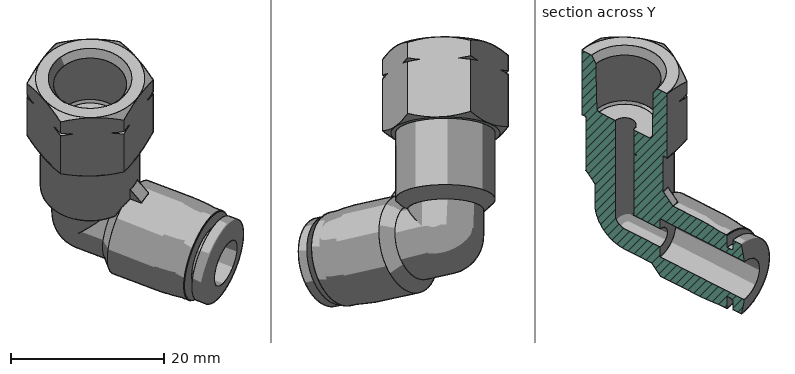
import cadquery as cq
import math

body_radius = 13.0 / 2
elbow_radius = 10.02 / 2
passage_radius = 3.0 / 2
cone_length = body_radius - elbow_radius

overall_height = 31.5
hex_corner_radius = 16.5 / 2
hex_flat_radius = hex_corner_radius * math.cos(math.radians(30))
hex_height = 10.95
hex_top = overall_height - body_radius
hex_bottom = hex_top - hex_height
hex_chamfer_height = 0.63
hex_face_radius = hex_flat_radius - 0.03
notch_drop = 3.0
notch_depth = 0.65
notch_half_height = 0.25

socket_mouth_radius = 10.9 / 2
socket_top_radius = 9.5 / 2
socket_end_radius = 9.17 / 2
socket_floor_radius = 8.5 / 2
socket_mouth_depth = 1.1
socket_taper_length = 7.55
socket_end_chamfer = socket_end_radius - socket_floor_radius

leg_cone_bottom = 3.5
leg_cone_top = leg_cone_bottom + cone_length
rib_width = 2.02
rib_leg = 1.6

sleeve_cone_start = 4.47
sleeve_start = sleeve_cone_start + cone_length
sleeve_taper_start = 12.82
sleeve_taper_end = 15.78
sleeve_end = 17.17
sleeve_end_radius = 12.5 / 2
sleeve_edge_chamfer = 0.1
neck_radius = 8.35 / 2
neck_fillet = 0.38
ring_start = 18.1
ring_shoulder = 19.55
ring_end = 20.0
ring_radius = 11.8 / 2
ring_face_radius = 3.65
ring_edge_fillet = 0.2
tube_bore_radius = 6.35 / 2


def revolve_about_z(points):
    """Revolve a closed (radius, z) outline about the Z axis."""
    return cq.Workplane("XZ").polyline(points).close().revolve(360, (0, 0, 0), (0, 1, 0))


def make_head():
    hexagon = (
        cq.Workplane("XY", origin=(0, 0, hex_bottom))
        .polygon(6, 2 * hex_corner_radius)
        .extrude(hex_height)
        .rotate((0, 0, 0), (0, 0, 1), 30)
    )
    chamfer_envelope = revolve_about_z([
        (0, hex_bottom),
        (hex_face_radius, hex_bottom),
        (hex_corner_radius, hex_bottom + hex_chamfer_height),
        (hex_corner_radius, hex_top - hex_chamfer_height),
        (hex_face_radius, hex_top),
        (0, hex_top),
    ])
    return hexagon.intersect(chamfer_envelope)


def make_notch_groove():
    """V groove that only reaches the hexagon corners; its sides run on past them."""
    overrun = 2.0
    notch_z = hex_top - notch_drop
    root_radius = hex_corner_radius - notch_depth
    outer_half_height = notch_half_height * overrun
    outer_radius = root_radius + notch_depth * overrun
    return revolve_about_z([
        (root_radius, notch_z),
        (outer_radius, notch_z + outer_half_height),
        (outer_radius, notch_z - outer_half_height),
    ])


def make_leg():
    return revolve_about_z([
        (0, 0),
        (elbow_radius, 0),
        (elbow_radius, leg_cone_bottom),
        (body_radius, leg_cone_top),
        (body_radius, hex_bottom),
        (0, hex_bottom),
    ])


def make_sleeve():
    return (
        cq.Workplane("XZ")
        .moveTo(0, 0)
        .lineTo(0, elbow_radius)
        .lineTo(sleeve_cone_start, elbow_radius)
        .lineTo(sleeve_start, body_radius)
        .lineTo(sleeve_taper_start, body_radius)
        .tangentArcPoint((sleeve_taper_end, sleeve_end_radius), relative=False)
        .lineTo(sleeve_end - sleeve_edge_chamfer, sleeve_end_radius)
        .lineTo(sleeve_end, sleeve_end_radius - sleeve_edge_chamfer)
        .lineTo(sleeve_end, 0)
        .close()
        .revolve(360, (0, 0, 0), (1, 0, 0))
    )


def make_release_ring():
    ring = (
        cq.Workplane("XZ")
        .moveTo(sleeve_taper_end, 0)
        .lineTo(sleeve_taper_end, neck_radius)
        .lineTo(ring_start - neck_fillet, neck_radius)
        .tangentArcPoint((ring_start, neck_radius + neck_fillet), relative=False)
        .lineTo(ring_start, ring_radius)
        .lineTo(ring_shoulder, ring_radius)
        .lineTo(ring_end, ring_face_radius)
        .lineTo(ring_end, 0)
        .close()
        .revolve(360, (0, 0, 0), (1, 0, 0))
    )
    shoulder_edge = cq.selectors.BoxSelector(
        (ring_shoulder - 0.03, -ring_radius - 0.3, -ring_radius - 0.3),
        (ring_shoulder + 0.03, ring_radius + 0.3, ring_radius + 0.3),
        boundingbox=True,
    )
    return ring.edges("%CIRCLE").edges(shoulder_edge).fillet(ring_edge_fillet)


def make_rib():
    """Web in the inside corner, sloping at 45 degrees and ending square on the sleeve."""
    tip = body_radius + rib_leg
    inner = sleeve_start
    diagonal_end = body_radius + tip - inner
    return (
        cq.Workplane("XZ")
        .polyline([(inner, inner), (tip, inner), (tip, body_radius), (inner, diagonal_end)])
        .close()
        .extrude(rib_width / 2, both=True)
    )


def make_socket():
    taper_top = hex_top - socket_mouth_depth
    taper_bottom = taper_top - socket_taper_length
    floor = taper_bottom - socket_end_chamfer
    return revolve_about_z([
        (0, floor),
        (socket_floor_radius, floor),
        (socket_end_radius, taper_bottom),
        (socket_top_radius, taper_top),
        (socket_mouth_radius, hex_top),
        (0, hex_top),
    ])


def make_passage():
    """Flow passage with a round elbow, opening into the tube bore."""
    down = cq.Workplane("XY").circle(passage_radius).extrude(hex_top)
    along = cq.Workplane("YZ").circle(passage_radius).extrude(ring_end)
    tube_bore = (
        cq.Workplane("YZ", origin=(sleeve_start, 0, 0))
        .circle(tube_bore_radius)
        .extrude(ring_end - sleeve_start)
    )
    return down.union(along).union(cq.Workplane("XY").sphere(passage_radius)).union(tube_bore)


head = make_head().cut(make_notch_groove())
elbow_ball = cq.Workplane("XY").sphere(elbow_radius)
body = make_leg().union(make_sleeve()).union(elbow_ball).union(make_rib())
body = body.union(head).union(make_release_ring())
result = body.cut(make_socket()).cut(make_passage())